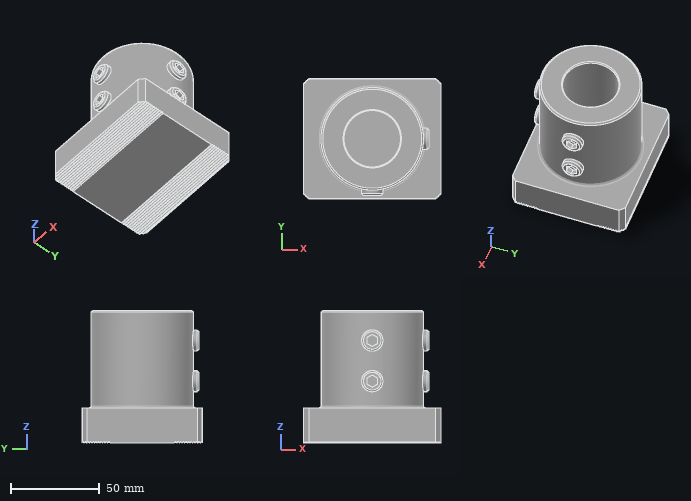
import cadquery as cq
import math

PLATE_LENGTH = 78.0
PLATE_WIDTH = 68.0
PLATE_HEIGHT = 20.0
CORNER_CUT_X = 3.2
CORNER_CUT_Y = 2.9

SERRATION_PITCH = 1.5
SERRATION_DEPTH = SERRATION_PITCH / 2
SERRATION_COUNT = 11
OUTER_GROOVE_INSET = 0.4

TOTAL_HEIGHT = 75.0
SLEEVE_DIAMETER = 58.0
SLEEVE_CHAMFER = 1.0
ROOT_FILLET = 1.0
BORE_DIAMETER = 32.0
BORE_CHAMFER_RADIAL = 0.5
BORE_CHAMFER_AXIAL = 0.85

SCREW_DIAMETER = 12.0
SCREW_REACH = 32.1
SCREW_SIDE_ANGLES = (-90, 0)
SCREW_HEIGHTS = (35.0, 58.0)
SCREW_CHAMFER_RADIAL = 1.0
SCREW_CHAMFER_AXIAL = 1.25
SOCKET_ACROSS_FLATS = 6.0
SOCKET_DEPTH = 3.0

SLEEVE_RADIUS = SLEEVE_DIAMETER / 2
BORE_RADIUS = BORE_DIAMETER / 2
SCREW_RADIUS = SCREW_DIAMETER / 2


def make_plate():
    half_x = PLATE_LENGTH / 2
    half_y = PLATE_WIDTH / 2
    flat_x = half_x - CORNER_CUT_X
    flat_y = half_y - CORNER_CUT_Y
    outline = [
        (flat_x, -half_y), (half_x, -flat_y), (half_x, flat_y), (flat_x, half_y),
        (-flat_x, half_y), (-half_x, flat_y), (-half_x, -flat_y), (-flat_x, -half_y),
    ]
    return cq.Workplane("XY").polyline(outline).close().extrude(PLATE_HEIGHT)


def cut_serrations(plate):
    outer_groove_y = PLATE_WIDTH / 2 - OUTER_GROOVE_INSET
    half_width = SERRATION_PITCH / 2
    for side in (-1, 1):
        for index in range(SERRATION_COUNT):
            y = side * (outer_groove_y - index * SERRATION_PITCH)
            profile = [(y - half_width, 0), (y, SERRATION_DEPTH), (y + half_width, 0)]
            groove = cq.Workplane("YZ").polyline(profile).close().extrude(PLATE_LENGTH / 2, both=True)
            plate = plate.cut(groove)
    return plate


def make_sleeve():
    """Solid sleeve with a chamfered rim and a concave fillet at its root."""
    root_radius = SLEEVE_RADIUS + ROOT_FILLET
    arc_offset = ROOT_FILLET * (1 - math.sqrt(0.5))
    return (
        cq.Workplane("XZ")
        .moveTo(0, PLATE_HEIGHT)
        .lineTo(root_radius, PLATE_HEIGHT)
        .threePointArc(
            (SLEEVE_RADIUS + arc_offset, PLATE_HEIGHT + arc_offset),
            (SLEEVE_RADIUS, PLATE_HEIGHT + ROOT_FILLET),
        )
        .lineTo(SLEEVE_RADIUS, TOTAL_HEIGHT - SLEEVE_CHAMFER)
        .lineTo(SLEEVE_RADIUS - SLEEVE_CHAMFER, TOTAL_HEIGHT)
        .lineTo(0, TOTAL_HEIGHT)
        .close()
        .revolve(360, (0, 0, 0), (0, 1, 0))
    )


def make_bore():
    """Blind bore down to the plate, with a chamfered mouth."""
    return (
        cq.Workplane("XZ")
        .moveTo(0, PLATE_HEIGHT)
        .lineTo(BORE_RADIUS, PLATE_HEIGHT)
        .lineTo(BORE_RADIUS, TOTAL_HEIGHT - BORE_CHAMFER_AXIAL)
        .lineTo(BORE_RADIUS + BORE_CHAMFER_RADIAL, TOTAL_HEIGHT)
        .lineTo(0, TOTAL_HEIGHT)
        .close()
        .revolve(360, (0, 0, 0), (0, 1, 0))
    )


def make_screw():
    """Screw along +X with its axis through the origin, starting inside the sleeve wall."""
    start = (BORE_RADIUS + SLEEVE_RADIUS) / 2
    return (
        cq.Workplane("XY")
        .moveTo(start, 0)
        .lineTo(start, SCREW_RADIUS)
        .lineTo(SCREW_REACH - SCREW_CHAMFER_AXIAL, SCREW_RADIUS)
        .lineTo(SCREW_REACH, SCREW_RADIUS - SCREW_CHAMFER_RADIAL)
        .lineTo(SCREW_REACH, 0)
        .close()
        .revolve(360, (0, 0, 0), (1, 0, 0))
    )


def make_socket():
    """Hexagon socket along +X, with two corners pointing up and down."""
    across_corners = SOCKET_ACROSS_FLATS / math.cos(math.pi / 6)
    return (
        cq.Workplane("YZ", origin=(SCREW_REACH - SOCKET_DEPTH, 0, 0))
        .transformed(rotate=(0, 0, 90))
        .polygon(6, across_corners)
        .extrude(SOCKET_DEPTH)
    )


def place_on_sleeve(feature, angle, height):
    return feature.rotate((0, 0, 0), (0, 0, 1), angle).translate((0, 0, height))


result = cut_serrations(make_plate())
result = result.union(make_sleeve()).cut(make_bore())

for side_angle in SCREW_SIDE_ANGLES:
    for height in SCREW_HEIGHTS:
        result = result.union(place_on_sleeve(make_screw(), side_angle, height))
        result = result.cut(place_on_sleeve(make_socket(), side_angle, height))